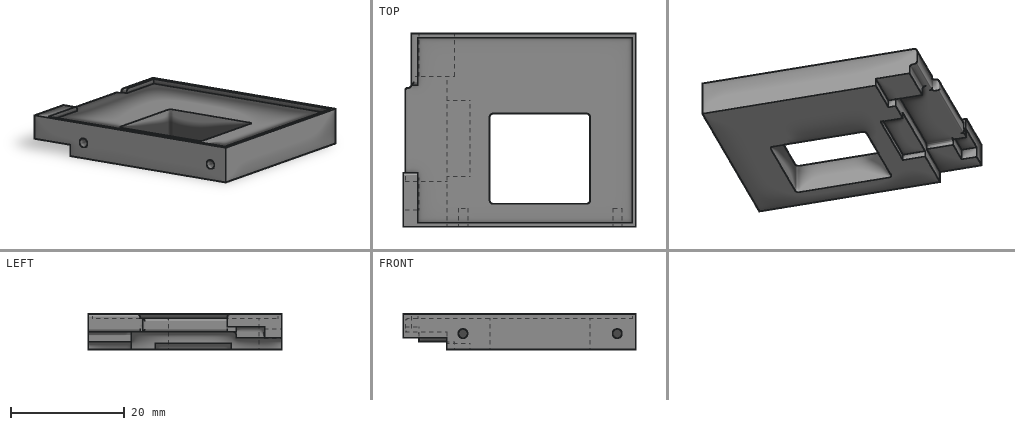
import cadquery as cq

length = 41.05
width = 34.15
height = 6.3

floor_z = 5.5
ledge_z = 3.15
arm_bottom_z = 2.05
notch_top_z = 4.02
key_bottom_z = 1.4

base_left_x = 7.67
tray_left_x = 2.55
rear_left_x = 1.4
lip_left_x = 0.33
rear_base_left_x = 9.03
key_left_x = 2.8

rear_rim_end_y = 25.0
lip_end_y = 24.55
key_start_y = 26.55
arm_end_y = 9.6
arm_foot_end_y = 8.05
notch_start_y = 3.0

rim = 0.75
right_rim = 0.65
window_x = (15.25, 32.95)
window_y = (4.1, 20.0)
window_radius = 0.6
slot_y = (8.95, 22.33)
slot_height = 1.1
slot_depth = 4.1
hole_diameter = 1.65
hole_depth = 3.3
hole_xs = (10.55, 37.75)
hole_z = 2.85

rim_radius = 0.6
key_blend_radius = 0.65
lip_radius = 0.5
underside_radius = 0.45
step_inner_radius = rear_rim_end_y - lip_end_y
step_outer_radius = 0.5
foot_radius = 0.6


def block(x, y, z):
    """Box spanning the given (low, high) ranges."""
    return cq.Workplane("XY").box(
        x[1] - x[0], y[1] - y[0], z[1] - z[0], centered=False
    ).translate((x[0], y[0], z[0]))


def edge_at(x=None, y=None, z=None):
    """Selector for edges whose middle lies on the given coordinates."""
    tolerance = 0.005
    far = 2 * length
    low = [-far if c is None else c - tolerance for c in (x, y, z)]
    high = [far if c is None else c + tolerance for c in (x, y, z)]
    return cq.selectors.BoxSelector(low, high)


def make_base():
    return block((base_left_x, length), (0, width), (0, height))


def make_middle_lip():
    """Overhanging lip with rounded edges and a filleted step to the rear."""
    lip = (
        cq.Workplane("XY", origin=(0, 0, ledge_z))
        .moveTo(base_left_x, arm_end_y)
        .lineTo(lip_left_x, arm_end_y)
        .lineTo(lip_left_x, lip_end_y - step_outer_radius)
        .radiusArc((lip_left_x + step_outer_radius, lip_end_y), step_outer_radius)
        .lineTo(rear_left_x - step_inner_radius, lip_end_y)
        .radiusArc((rear_left_x, rear_rim_end_y), -step_inner_radius)
        .lineTo(base_left_x, rear_rim_end_y)
        .close()
        .extrude(floor_z - ledge_z)
    )
    top_cutter = rounding_cutter(lip_left_x, floor_z, lip_radius, 1, arm_end_y, rear_rim_end_y)
    bottom_cutter = rounding_cutter(
        lip_left_x, ledge_z, underside_radius, -1, arm_end_y, rear_rim_end_y
    )
    return lip.cut(top_cutter).cut(bottom_cutter)


def rounding_cutter(x, z, radius, up, y_start, y_end):
    """Waste outside a round on a left-hand edge; up is 1 for a top edge, -1 for a bottom one."""
    return (
        cq.Workplane("XZ", origin=(0, y_end, 0))
        .moveTo(x, z)
        .lineTo(x + radius, z)
        .radiusArc((x, z - up * radius), -up * radius)
        .close()
        .extrude(y_end - y_start)
    )


def make_rear_lip():
    """Rear left lip, with the rim standing above the tray floor."""
    lip = block((rear_left_x, base_left_x), (rear_rim_end_y, width), (ledge_z, height))
    rounded_end = lip.edges(edge_at(y=rear_rim_end_y, z=height)).fillet(rim_radius)
    rounded_side = (
        lip.edges(edge_at(x=rear_left_x, z=height))
        .fillet(rim_radius)
        .edges(edge_at(x=rear_left_x, z=ledge_z))
        .fillet(underside_radius)
    )
    return rounded_end.intersect(rounded_side)


def make_rear_key():
    """Key below the rear lip, blended into its underside."""
    key = block((key_left_x, base_left_x), (key_start_y, width), (key_bottom_z, ledge_z))
    blend = (
        cq.Workplane("XZ", origin=(0, width, 0))
        .moveTo(key_left_x, ledge_z)
        .lineTo(key_left_x - key_blend_radius, ledge_z)
        .radiusArc((key_left_x, ledge_z - key_blend_radius), key_blend_radius)
        .close()
        .extrude(width - key_start_y)
    )
    return key.union(blend)


def make_arm():
    """Front left arm with a notch in its left face and a stub behind the notch."""
    arm = block((0, base_left_x), (0, arm_end_y), (arm_bottom_z, height))
    arm = arm.edges(edge_at(y=arm_end_y, z=height)).fillet(rim_radius)
    arm = arm.cut(block((0, key_left_x), (notch_start_y, arm_end_y), (arm_bottom_z, notch_top_z)))
    arm = arm.cut(block((0, base_left_x), (arm_foot_end_y, arm_end_y), (arm_bottom_z, ledge_z)))
    stub = block((lip_left_x, base_left_x), (arm_foot_end_y, arm_end_y), (ledge_z, notch_top_z))
    blend = (
        cq.Workplane("YZ", origin=(key_left_x, 0, 0))
        .moveTo(arm_foot_end_y, ledge_z)
        .lineTo(arm_foot_end_y, ledge_z - foot_radius)
        .radiusArc((arm_foot_end_y + foot_radius, ledge_z), foot_radius)
        .close()
        .extrude(base_left_x - key_left_x)
    )
    return arm.union(stub).union(blend)


def make_tray():
    """Shallow top recess inside the rim."""
    return block((tray_left_x, length - right_rim), (rim, width - rim), (floor_z, height))


def make_tray_opening():
    """Gap in the left rim between the arm and the rear lip."""
    return block((0, base_left_x), (arm_end_y, rear_rim_end_y), (floor_z, height))


def make_rear_undercut():
    """Relief in the base directly below the rear key."""
    return block((base_left_x, rear_base_left_x), (key_start_y, width), (0, key_bottom_z))


def make_window():
    return block(window_x, window_y, (0, height)).edges("|Z").fillet(window_radius)


def make_slot():
    """Shallow underside channel running in from the left face of the base."""
    return block((base_left_x, base_left_x + slot_depth), slot_y, (0, slot_height))


def make_side_holes():
    return (
        cq.Workplane("XZ")
        .pushPoints([(x, hole_z) for x in hole_xs])
        .circle(hole_diameter / 2)
        .extrude(-hole_depth)
    )


result = make_base()
for addition in (make_middle_lip(), make_rear_lip(), make_rear_key(), make_arm()):
    result = result.union(addition)
cutters = (
    make_tray(),
    make_tray_opening(),
    make_rear_undercut(),
    make_window(),
    make_slot(),
    make_side_holes(),
)
for cutter in cutters:
    result = result.cut(cutter)